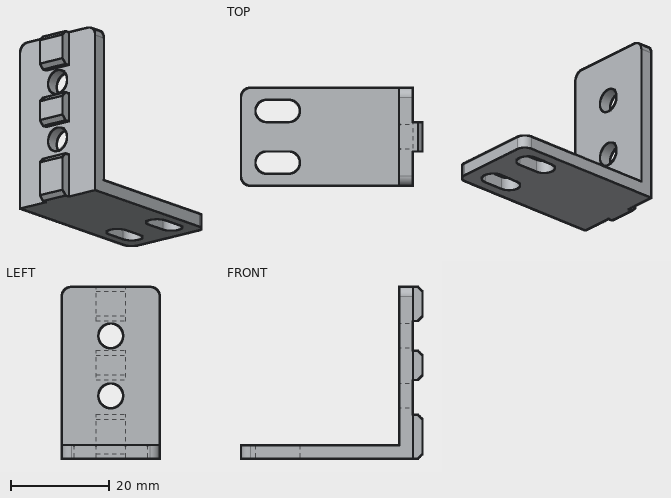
import cadquery as cq

width = 20.0
leg_length = 35.0
thickness = 2.8
corner_radius = 2.0

slot_length = 9.0
slot_width = 4.5
slot_centre_x = 7.5
slot_spacing = 10.5

hole_diameter = 5.0
hole_heights = (12.8, 25.0)

tab_projection = 2.0
tab_chamfer = 1.0
tab_width = 6.0
tab_spans = ((0.0, 9.0), (16.0, 22.0), (28.0, leg_length))


def make_foot():
    """Horizontal plate with its two free corners rounded."""
    plate = cq.Workplane("XY").box(leg_length, width, thickness, centered=(False, True, False))
    return plate.edges("|Z and <X").fillet(corner_radius)


def make_wall():
    """Upright plate at the +X end of the foot with its two top corners rounded."""
    plate = cq.Workplane("XY").box(thickness, width, leg_length, centered=(False, True, False))
    plate = plate.edges("|X and >Z").fillet(corner_radius)
    return plate.translate((leg_length - thickness, 0, 0))


def make_tab(bottom, top):
    """Block on the outer wall face with its upper and lower outer edges chamfered."""
    block = cq.Workplane("XY").box(tab_projection, tab_width, top - bottom, centered=(False, True, False))
    block = block.edges("|Y and >X").chamfer(tab_chamfer)
    return block.translate((leg_length, 0, bottom))


def make_slots():
    """Cutters for the pair of slots through the foot."""
    return (
        cq.Workplane("XY")
        .center(slot_centre_x, 0)
        .rarray(1, slot_spacing, 1, 2)
        .slot2D(slot_length, slot_width)
        .extrude(thickness)
    )


def make_holes():
    """Cutters for the holes through the wall, on its centre line."""
    return (
        cq.Workplane("YZ", origin=(leg_length - thickness, 0, 0))
        .pushPoints([(0, height) for height in hole_heights])
        .circle(hole_diameter / 2)
        .extrude(thickness)
    )


result = make_foot().union(make_wall())
for tab_bottom, tab_top in tab_spans:
    result = result.union(make_tab(tab_bottom, tab_top))
result = result.cut(make_slots()).cut(make_holes())